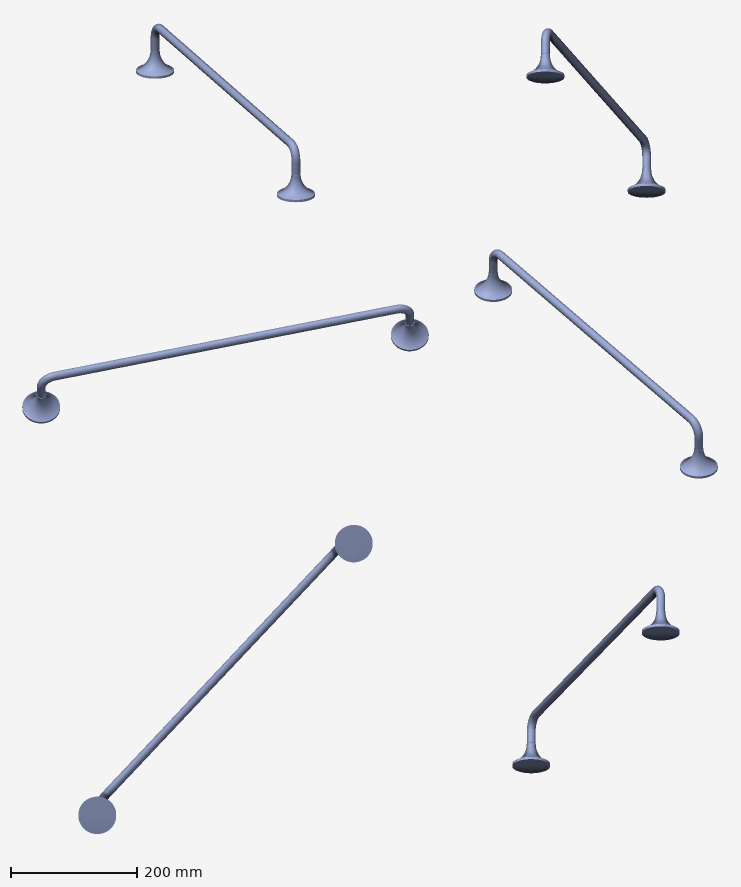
import cadquery as cq
import math

total_length = 660.0
total_height = 88.0

foot_diameter = 60.0
neck_diameter = 14.5
spigot_diameter = 13.0
rim_height = 4.0
flare_top = 37.0
spigot_height = 1.0
foot_height = flare_top + spigot_height

rail_diameter = 14.0
bend_radius = 22.5

foot_radius = foot_diameter / 2
neck_radius = neck_diameter / 2
spigot_radius = spigot_diameter / 2
rail_radius = rail_diameter / 2
foot_x = total_length / 2 - foot_radius
rail_z = total_height - rail_radius
bend_start_z = rail_z - bend_radius
bend_end_x = foot_x - bend_radius


def make_foot(x):
    """Solid of revolution: flat rim, then a concave flare, then a short narrow spigot."""
    flare_width = foot_radius - neck_radius
    flare_height = flare_top - rim_height
    flare_radius = (flare_width**2 + flare_height**2) / (2 * flare_width)

    half_angle = math.asin(flare_height / flare_radius) / 2
    flare_middle = (
        neck_radius + flare_radius * (1 - math.cos(half_angle)),
        flare_top - flare_radius * math.sin(half_angle),
    )
    foot = (
        cq.Workplane("XZ")
        .lineTo(foot_radius, 0)
        .lineTo(foot_radius, rim_height)
        .threePointArc(flare_middle, (neck_radius, flare_top))
        .lineTo(spigot_radius, flare_top)
        .lineTo(spigot_radius, foot_height)
        .lineTo(0, foot_height)
        .close()
        .revolve(360, (0, 0, 0), (0, 1, 0))
    )
    return foot.translate((x, 0, 0))


def make_rail():
    """Round bar swept from one foot top, over two quarter bends, to the other."""
    bend_offset = bend_radius * math.sin(math.pi / 4)
    bend_middle_x = bend_end_x + bend_offset
    bend_middle_z = bend_start_z + bend_offset
    path = (
        cq.Workplane("XZ")
        .moveTo(-foot_x, foot_height)
        .lineTo(-foot_x, bend_start_z)
        .threePointArc((-bend_middle_x, bend_middle_z), (-bend_end_x, rail_z))
        .lineTo(bend_end_x, rail_z)
        .threePointArc((bend_middle_x, bend_middle_z), (foot_x, bend_start_z))
        .lineTo(foot_x, foot_height)
    )
    return (
        cq.Workplane("XY", origin=(-foot_x, 0, foot_height))
        .circle(rail_radius)
        .sweep(path)
    )


feet = [make_foot(x) for x in (-foot_x, foot_x)]
rail = make_rail()

result = cq.Compound.makeCompound([rail.val(), *[foot.val() for foot in feet]])